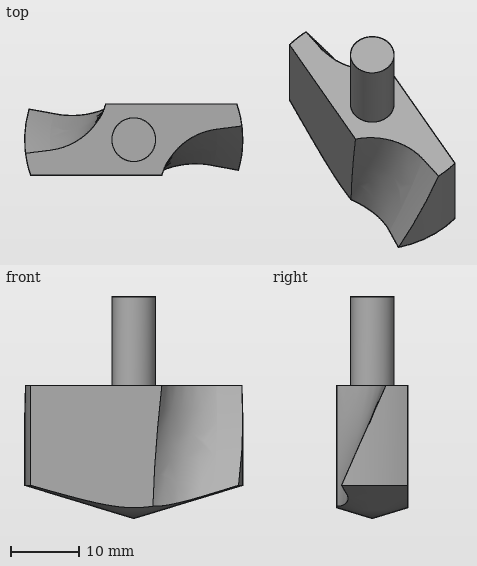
import cadquery as cq
import math

cutting_diameter = 31.98
body_thickness = 10.45
shank_diameter = 6.4
total_height = 32.5
shank_length = 13.0
tip_height = 4.88

land_inner_radius = 12.25
flute_radius = 9.7
flute_top_angle = 7.2
twist_rate = 1.609

cutting_radius = cutting_diameter / 2
body_top = total_height - shank_length
flute_outer_reach = 1.25 * cutting_radius


def make_body():
    """Pointed cylinder trimmed to a flat slab."""
    pointed_cylinder = (
        cq.Workplane("XZ")
        .moveTo(0, 0)
        .lineTo(cutting_radius, tip_height)
        .lineTo(cutting_radius, body_top)
        .lineTo(0, body_top)
        .close()
        .revolve(360, (0, 0, 0), (0, 1, 0))
    )
    slab = cq.Workplane("XY").box(
        cutting_diameter, body_thickness, body_top, centered=(True, True, False)
    )
    return pointed_cylinder.intersect(slab)


def make_flute():
    """Twisted cutter that turns counterclockwise from the tip level up to the body top."""
    twist = twist_rate * body_top
    arc_middle = flute_radius * math.sqrt(0.5)
    cutter = (
        cq.Workplane("XY")
        .moveTo(flute_outer_reach, 0)
        .lineTo(land_inner_radius, 0)
        .threePointArc(
            (land_inner_radius - arc_middle, arc_middle - flute_radius),
            (land_inner_radius - flute_radius, -flute_radius),
        )
        .lineTo(flute_outer_reach, -flute_radius)
        .close()
        .twistExtrude(body_top, twist)
    )
    return cutter.rotate((0, 0, 0), (0, 0, 1), flute_top_angle - twist)


def make_shank():
    return (
        cq.Workplane("XY")
        .workplane(offset=body_top)
        .circle(shank_diameter / 2)
        .extrude(shank_length)
    )


result = make_body()
flute = make_flute()
for flute_turn in (0, 180):
    result = result.cut(flute.rotate((0, 0, 0), (0, 0, 1), flute_turn))
result = result.union(make_shank())